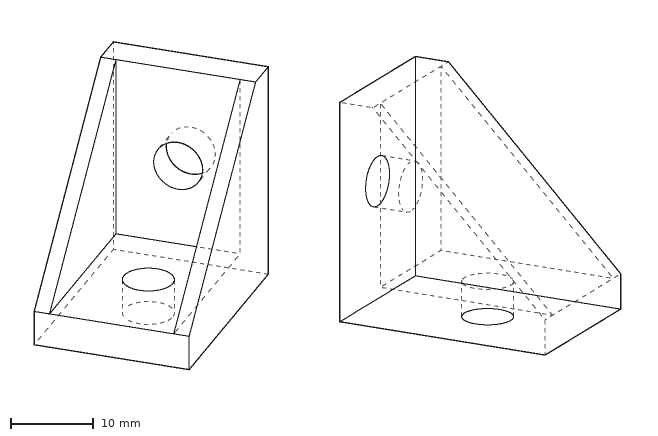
import cadquery as cq

leg_length = 28.0
width = 20.0
plate_thickness = 4.5
wall_thickness = 2.0
hole_diameter = 6.3
hole_offset = 15.0

inner_width = width - 2 * wall_thickness

back_face = leg_length - plate_thickness


def bracket_body():
    """Side profile with a sloping front, extruded across the full width."""
    profile = [
        (0, 0),
        (leg_length, 0),
        (leg_length, leg_length),
        (back_face, leg_length),
        (0, plate_thickness),
    ]
    return cq.Workplane("YZ").polyline(profile).close().extrude(width / 2, both=True)


def inner_pocket():
    """Space between the side walls, in front of the back plate and above the base."""
    return cq.Workplane("XY").box(
        inner_width, back_face, leg_length - plate_thickness, centered=(True, False, False)
    ).translate((0, 0, plate_thickness))


def base_hole():
    """Vertical through hole in the base plate."""
    hole_y = leg_length - hole_offset
    return cq.Workplane("XY").center(0, hole_y).circle(hole_diameter / 2).extrude(plate_thickness)


def back_hole():
    """Horizontal through hole in the back plate, along Y."""
    outer_plane = cq.Workplane("XZ", origin=(0, leg_length, hole_offset))
    return outer_plane.circle(hole_diameter / 2).extrude(plate_thickness)


result = bracket_body().cut(inner_pocket()).cut(base_hole()).cut(back_hole())